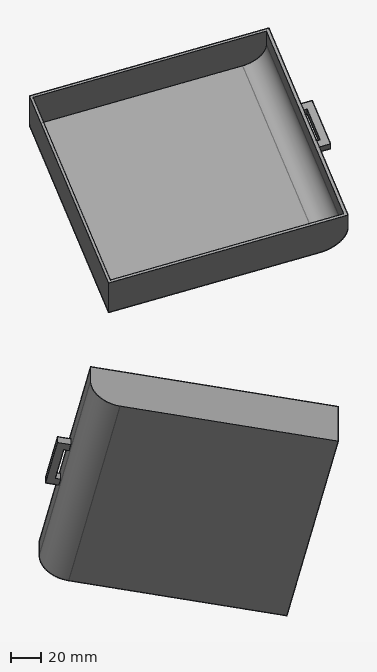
import cadquery as cq

width = 160.6
total_length = 177.5
height = 34.3
wall = 2.0
floor = 2.0
back_wall = 2.5
outer_radius = 20.0
inner_radius = 16.7

handle_width = 37.3
handle_reach = 9.0
handle_bar = 5.5
handle_thickness = 5.9
handle_top_gap = 5.0

tray_length = total_length - handle_reach


def rounded_block(x_size, y_size, z_size, radius):
    """Block centred on X, from Y=0 and Z=0, with its lower back edge rounded."""
    block = cq.Workplane("XY").box(x_size, y_size, z_size, centered=(True, False, False))
    return block.edges("|X and >Y and <Z").fillet(radius)


def make_tray():
    outside = rounded_block(width, tray_length, height, outer_radius)
    inside = rounded_block(
        width - 2 * wall, tray_length - wall - back_wall, height - floor, inner_radius
    ).translate((0, wall, floor))
    return outside.cut(inside)


def make_handle():
    base_z = height - handle_top_gap - handle_thickness
    centered = (True, False, False)
    root = back_wall / 2
    loop = (
        cq.Workplane("XY")
        .box(handle_width, handle_reach + root, handle_thickness, centered=centered)
        .translate((0, tray_length - root, base_z))
    )
    opening_width = handle_width - 2 * handle_bar
    opening = (
        cq.Workplane("XY")
        .box(opening_width, handle_reach - handle_bar, handle_thickness, centered=centered)
        .translate((0, tray_length, base_z))
    )
    return loop.cut(opening)


result = make_tray().union(make_handle())